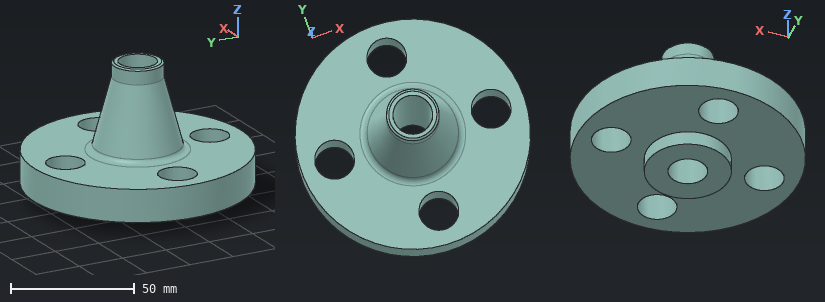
import cadquery as cq
import math

flange_diameter = 95.2
flange_thickness = 14.4

spigot_diameter = 35.2
spigot_height = 6.4

overall_height = 58.7
neck_diameter = 21.3
neck_height = 6.5
neck_chamfer_width = 0.95
neck_chamfer_height = 0.6
hub_base_diameter = 38.1
hub_fillet_radius = 3.0

bore_diameter = 16.0
bolt_hole_diameter = 16.0
bolt_circle_diameter = 66.7
bolt_count = 4

flange_top = spigot_height + flange_thickness
hub_top = overall_height - neck_height

flange_radius = flange_diameter / 2
spigot_radius = spigot_diameter / 2
neck_radius = neck_diameter / 2
hub_base_radius = hub_base_diameter / 2


def make_spigot_and_flange():
    spigot = cq.Workplane("XY").circle(spigot_radius).extrude(flange_top)
    flange = (
        cq.Workplane("XY")
        .workplane(offset=spigot_height)
        .circle(flange_radius)
        .extrude(flange_thickness)
    )
    return spigot.union(flange)


def make_hub_and_neck():
    """Revolve the cone, its flared foot and the chamfered neck about Z."""
    slope_angle = math.atan2(hub_top - flange_top, hub_base_radius - neck_radius)
    tangent_length = hub_fillet_radius * math.tan(slope_angle / 2)
    fillet_center_r = hub_base_radius + tangent_length
    fillet_center_z = flange_top + hub_fillet_radius

    def foot_point(angle):
        return (
            fillet_center_r - hub_fillet_radius * math.sin(angle),
            fillet_center_z - hub_fillet_radius * math.cos(angle),
        )

    return (
        cq.Workplane("XZ")
        .moveTo(0, flange_top)
        .lineTo(*foot_point(0))
        .threePointArc(foot_point(slope_angle / 2), foot_point(slope_angle))
        .lineTo(neck_radius, hub_top)
        .lineTo(neck_radius, overall_height - neck_chamfer_height)
        .lineTo(neck_radius - neck_chamfer_width, overall_height)
        .lineTo(0, overall_height)
        .close()
        .revolve(360, (0, 0, 0), (0, 1, 0))
    )


def make_bore():
    return cq.Workplane("XY").circle(bore_diameter / 2).extrude(overall_height)


def make_bolt_holes():
    return (
        cq.Workplane("XY")
        .polarArray(bolt_circle_diameter / 2, 0, 360, bolt_count)
        .circle(bolt_hole_diameter / 2)
        .extrude(flange_top)
    )


body = make_spigot_and_flange().union(make_hub_and_neck())
result = body.cut(make_bore()).cut(make_bolt_holes())